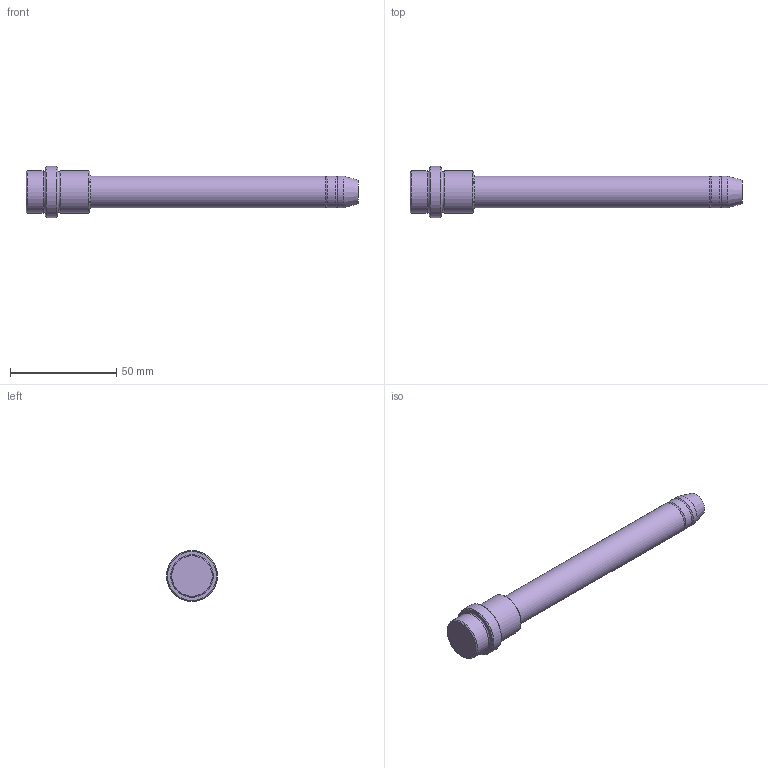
import cadquery as cq
import math

total_length = 156.0
head_length = 30.0
nose_length = 7.0

shank_radius = 15.0 / 2
head_radius = 20.0 / 2
collar_radius = 24.0 / 2

collar_start = 9.0
collar_end = 15.0

edge_chamfer = 0.5
root_fillet = 0.5
nose_half_angle = 15.0

groove_radius = 0.5
groove_width = 2 * groove_radius
shank_groove_starts = (140.5, 145.5)
head_groove_starts = (collar_start - groove_width, collar_end)


def cylinder(start, end, radius):
    """Cylinder around the X axis between two X positions."""
    return cq.Workplane("YZ").workplane(offset=start).circle(radius).extrude(end - start)


def make_head():
    """Head with both rims chamfered."""
    return cylinder(0, head_length, head_radius).edges().chamfer(edge_chamfer)


def make_collar():
    """Locating collar with both rims chamfered."""
    return cylinder(collar_start, collar_end, collar_radius).edges().chamfer(edge_chamfer)


def make_shank():
    """Shank with a concave fillet at its root and a tapered nose."""
    nose_start = total_length - nose_length
    tip_radius = shank_radius - nose_length * math.tan(math.radians(nose_half_angle))
    fillet_inset = root_fillet * (1 - math.sqrt(0.5))
    profile = (
        cq.Workplane("XY")
        .moveTo(collar_end, 0)
        .lineTo(collar_end, shank_radius + root_fillet)
        .lineTo(head_length, shank_radius + root_fillet)
        .threePointArc(
            (head_length + fillet_inset, shank_radius + fillet_inset),
            (head_length + root_fillet, shank_radius),
        )
        .lineTo(nose_start, shank_radius)
        .lineTo(total_length, tip_radius)
        .lineTo(total_length, 0)
        .close()
    )
    return profile.revolve(360, (0, 0, 0), (1, 0, 0))


def make_groove_ring(start, radius):
    """Ring that cuts a half-round groove into a cylinder of the given radius."""
    center = start + groove_radius
    profile = cq.Workplane("XY").center(center, radius).circle(groove_radius)
    return profile.revolve(360, (-center, -radius, 0), (1 - center, -radius, 0))


head = make_head()
for groove_start in head_groove_starts:
    head = head.cut(make_groove_ring(groove_start, head_radius))

shank = make_shank()
for groove_start in shank_groove_starts:
    shank = shank.cut(make_groove_ring(groove_start, shank_radius))

result = head.union(make_collar()).union(shank)